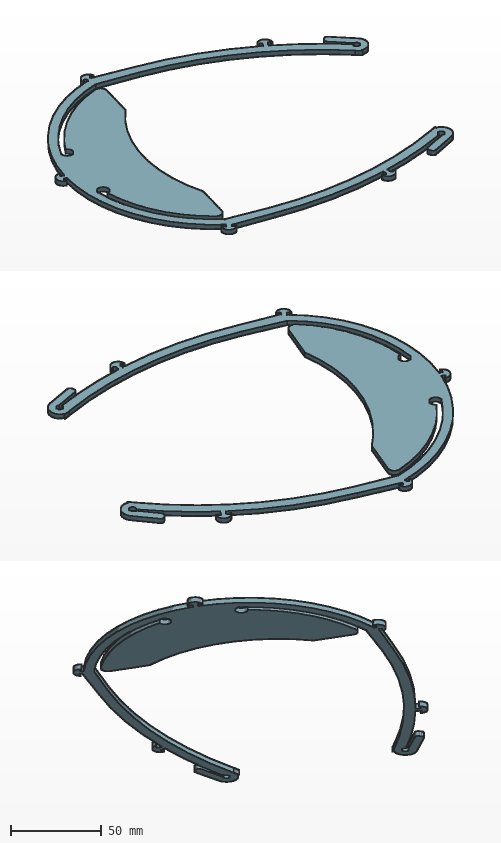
import cadquery as cq
import math

thickness = 3.0

brow_y = -11.8
brow_outer_radius = 92.0
slot_outer_radius = 86.3
slot_inner_radius = 83.0
relief_hole = (-22.3, -91.5)
relief_radius = slot_outer_radius - math.hypot(relief_hole[0], relief_hole[1] - brow_y)

visor_top_y = -42.5
visor_arc_half_width = 48.0
visor_arc_mid_y = -55.6
visor_corner_radius = 4.0

arm_center = (145.5, -18.0)
arm_outer_radius = 231.9
arm_width = 6.3
arm_inner_radius = arm_outer_radius - arm_width
joint_outer_x = -86.7
joint_y = -45.0

hook_center = (-52.3, 103.0)
hook_radius = 6.5
hook_hole_radius = 2.0
finger_angle = 57.6
finger_length = 18.6
finger_gap_offset = 1.3
finger_tip_radius = 2.0

clip_radius = 4.4
clip_stem_width = 3.0
clip_standoff = 1.3
clip_stem_length = 3.5
clip_notch_radius = 0.9
brow_clip_angle = 201.5
arm_clip_center = (-76.0, 58.0)
arm_clip_angle = 168


def plate(sketch):
    return sketch.extrude(thickness)


def disc(center, radius):
    return plate(cq.Workplane("XY").center(*center).circle(radius))


def on_circle(center, radius, y):
    """Left-hand point of a circle at height y."""
    return (center[0] - math.sqrt(radius**2 - (y - center[1]) ** 2), y)


def mirrored(half):
    return half.union(half.mirror("YZ"))


def brow_lens(radius, top_y):
    """Part of a brow circle below top_y."""
    x, y = on_circle((0, brow_y), radius, top_y)
    return plate(
        cq.Workplane("XY").moveTo(x, y).threePointArc((0, brow_y - radius), (-x, y)).close()
    )


def make_brow():
    band = brow_lens(brow_outer_radius, joint_y).cut(brow_lens(slot_outer_radius, joint_y))
    visor = brow_lens(slot_inner_radius, visor_top_y)
    visor = visor.edges("|Z").fillet(visor_corner_radius)
    recess = plate(
        cq.Workplane("XY")
        .moveTo(-visor_arc_half_width, visor_top_y)
        .threePointArc((0, visor_arc_mid_y), (visor_arc_half_width, visor_top_y))
        .close()
    )
    visor = visor.cut(recess)
    bridge_x, bridge_y = relief_hole
    between_holes = plate(cq.Workplane("XY").rect(2 * abs(bridge_x), 2 * abs(brow_y - brow_outer_radius)))
    bridge = brow_lens(slot_outer_radius, bridge_y).intersect(between_holes)
    return band.union(visor).union(bridge).cut(mirrored(disc(relief_hole, relief_radius)))


def make_arm():
    """Left arm strip, from the brow joint up to the hook centre."""
    top_y = hook_center[1]
    flare_y = arm_center[1]
    middle_y = (top_y + flare_y) / 2
    return plate(
        cq.Workplane("XY")
        .moveTo(joint_outer_x, joint_y)
        .lineTo(arm_center[0] - arm_outer_radius, flare_y)
        .threePointArc(
            on_circle(arm_center, arm_outer_radius, middle_y),
            on_circle(arm_center, arm_outer_radius, top_y),
        )
        .lineTo(*on_circle(arm_center, arm_inner_radius, top_y))
        .threePointArc(
            on_circle(arm_center, arm_inner_radius, middle_y),
            (arm_center[0] - arm_inner_radius, flare_y),
        )
        .lineTo(*on_circle((0, brow_y), slot_outer_radius, joint_y))
        .close()
    )


def make_hook():
    """Rear eye with a finger folded back beside the arm, modelled along -X then turned."""
    finger_width = hook_radius - finger_gap_offset
    finger = plate(
        cq.Workplane("XY")
        .center(-finger_length / 2, finger_gap_offset + finger_width / 2)
        .rect(finger_length, finger_width)
    )
    finger = finger.edges("|Z and <X").fillet(finger_tip_radius)
    gap = plate(
        cq.Workplane("XY")
        .moveTo(0, finger_gap_offset)
        .lineTo(-hook_radius, finger_gap_offset)
        .lineTo(-hook_radius, -hook_radius)
        .lineTo(0, -hook_radius)
        .close()
    )
    hook = disc((0, 0), hook_radius).cut(gap).union(finger)
    return hook.rotate((0, 0, 0), (0, 0, 1), finger_angle).translate((*hook_center, 0))


def make_clip(center, angle):
    """Half-round head on a stem; angle is the outward direction, center is the head centre."""
    head = plate(
        cq.Workplane("XY")
        .moveTo(0, -clip_radius)
        .threePointArc((clip_radius, 0), (0, clip_radius))
        .close()
    )
    notch_offset = clip_stem_width / 2 + clip_notch_radius
    for side in (-1, 1):
        head = head.cut(disc((0, side * notch_offset), clip_notch_radius))
    stem_overlap = clip_radius / 2
    stem = plate(
        cq.Workplane("XY")
        .center((stem_overlap - clip_stem_length) / 2, 0)
        .rect(stem_overlap + clip_stem_length, clip_stem_width)
    )
    clip = head.union(stem)
    return clip.rotate((0, 0, 0), (0, 0, 1), angle).translate((*center, 0))


def brow_clip(angle):
    radius = brow_outer_radius + clip_standoff
    turn = math.radians(angle)
    return make_clip((radius * math.cos(turn), brow_y + radius * math.sin(turn)), angle)


side = make_arm().union(make_hook()).cut(disc(hook_center, hook_hole_radius))
side = side.union(make_clip(arm_clip_center, arm_clip_angle)).union(brow_clip(brow_clip_angle))
result = make_brow().union(mirrored(side)).union(brow_clip(270))